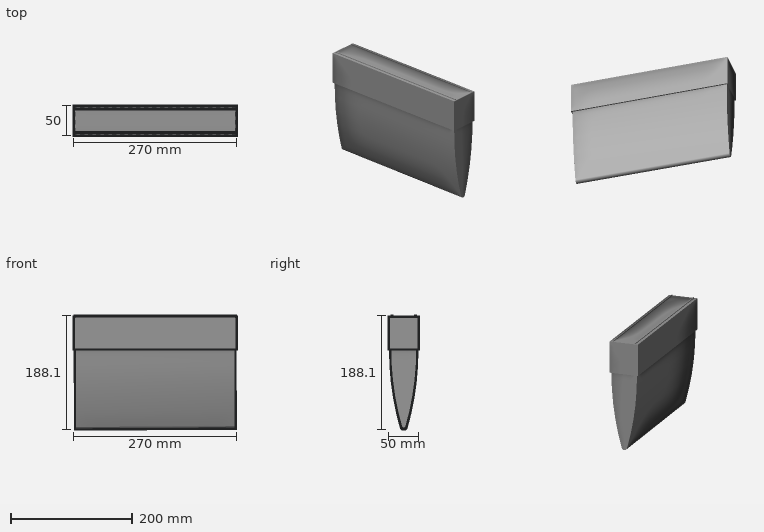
import cadquery as cq
import math

holder_length = 270.0
holder_width = 50.0
holder_height = 54.3
rail_length = 266.8
rail_thickness = 1.5
rail_height = 1.5
rail_spacing = 38.5

blade_length = 266.0
blade_width = 45.4
blade_drop = 132.3
blade_tilt = 0.27
blade_shift = -0.3
tip_radius = 4.9
neck_allowance = 2.7

half_width = blade_width / 2
tilt = math.radians(blade_tilt)
tip_depth = (blade_drop - blade_length / 2 * math.sin(tilt)) / math.cos(tilt)
tip_center_z = tip_radius - tip_depth
flank_radius = (tip_center_z**2 + half_width**2 - tip_radius**2) / (2 * (half_width - tip_radius))
flank_center_y = half_width - flank_radius
flank_angle = math.atan2(-tip_center_z, -flank_center_y)


def flank_point(angle):
    """Point (Y, Z) on the +Y flank, at an angle below the horizontal."""
    y = flank_center_y + flank_radius * math.cos(angle)
    return y, -flank_radius * math.sin(angle)


def mirrored(point):
    return -point[0], point[1]


def make_holder():
    block = cq.Workplane("XY").box(
        holder_length, holder_width, holder_height, centered=(True, True, False)
    )
    for side in (-1, 1):
        rail = (
            cq.Workplane("XY", origin=(0, side * rail_spacing / 2, holder_height))
            .box(rail_length, rail_thickness, rail_height, centered=(True, True, False))
        )
        block = block.union(rail)
    return block


def make_blade():
    flank_middle = flank_point(flank_angle / 2)
    flank_end = flank_point(flank_angle)
    bar = (
        cq.Workplane("YZ")
        .moveTo(-half_width, neck_allowance)
        .lineTo(half_width, neck_allowance)
        .lineTo(half_width, 0)
        .threePointArc(flank_middle, flank_end)
        .threePointArc((0, -tip_depth), mirrored(flank_end))
        .threePointArc(mirrored(flank_middle), (-half_width, 0))
        .close()
        .extrude(blade_length / 2, both=True)
        .rotate((0, 0, 0), (0, 1, 0), -blade_tilt)
        .translate((blade_shift, 0, 0))
    )
    trim = cq.Workplane("XY").box(
        holder_length, holder_width, holder_height, centered=(True, True, False)
    )
    return bar.cut(trim)


holder = make_holder()
blade = make_blade()
result = cq.Compound.makeCompound([holder.solids().val(), blade.solids().val()])